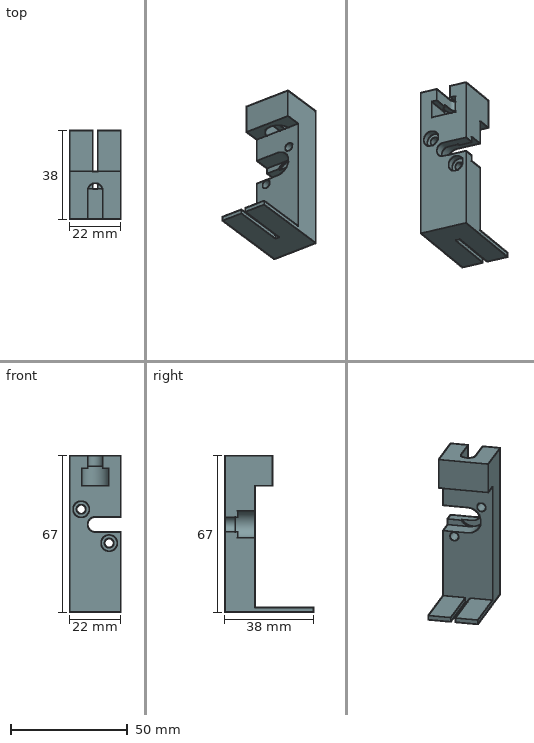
import cadquery as cq

width = 22.0
height = 67.0
total_depth = 38.0
column_depth = 13.0
head_depth = 20.5
head_height = column_depth
plate_thickness = 2.0
plate_slot_width = 2.0

neck_width = 6.35
channel_width = 11.5
channel_start = 5.4
seat_start = 4.5
slot_depth = column_depth
top_slot_length = 12.2
side_slot_length = width / 2
side_slot_z = 37.5

hole_diameter = 3.8
counterbore_diameter = 7.0
counterbore_depth = 3.3
hole_centers = [(4.95, side_slot_z + 6.5), (16.95, side_slot_z - 8.0)]


def make_body():
    """Side profile of plate, column and head, extruded across the width."""
    profile = [
        (0, 0),
        (total_depth, 0),
        (total_depth, plate_thickness),
        (column_depth, plate_thickness),
        (column_depth, height - head_height),
        (head_depth, height - head_height),
        (head_depth, height),
        (0, height),
    ]
    return cq.Workplane("YZ").polyline(profile).close().extrude(width)


def round_ended_slot(length, slot_width, start):
    """Slot along local X, round about the local origin, cut inward from `start`."""
    depth = slot_depth - start
    bar = cq.Workplane("XY").box(length, slot_width, depth, centered=(False, True, False))
    end = cq.Workplane("XY").circle(slot_width / 2).extrude(depth)
    return bar.union(end).translate((0, 0, start))


def make_t_slot(length, plane):
    """T-slot whose local X points to its open end and local Z into the part."""
    neck = round_ended_slot(length, neck_width, 0)
    channel = round_ended_slot(length, channel_width, channel_start)
    seat = (
        cq.Workplane("XY")
        .workplane(offset=seat_start)
        .circle(channel_width / 2)
        .extrude(slot_depth - seat_start)
    )
    return neck.union(channel).union(seat).val().moved(cq.Location(plane))


def make_screw_hole(x, z):
    """Through hole with a counterbore in the front face."""
    front = cq.Workplane(cq.Plane(origin=(x, 0, z), xDir=(1, 0, 0), normal=(0, 1, 0)))
    bore = front.circle(hole_diameter / 2).extrude(column_depth)
    return bore.union(front.circle(counterbore_diameter / 2).extrude(counterbore_depth))


top_slot_plane = cq.Plane(
    origin=(width / 2, top_slot_length, height), xDir=(0, -1, 0), normal=(0, 0, -1)
)
side_slot_plane = cq.Plane(
    origin=(width - side_slot_length, 0, side_slot_z), xDir=(1, 0, 0), normal=(0, 1, 0)
)

plate_slot = cq.Workplane("XY").box(
    plate_slot_width, total_depth - column_depth, plate_thickness, centered=(True, False, False)
).translate((width / 2, column_depth, 0))

result = make_body().cut(plate_slot)
result = result.cut(cq.Workplane(make_t_slot(top_slot_length, top_slot_plane)))
result = result.cut(cq.Workplane(make_t_slot(side_slot_length, side_slot_plane)))
for hole_x, hole_z in hole_centers:
    result = result.cut(make_screw_hole(hole_x, hole_z))